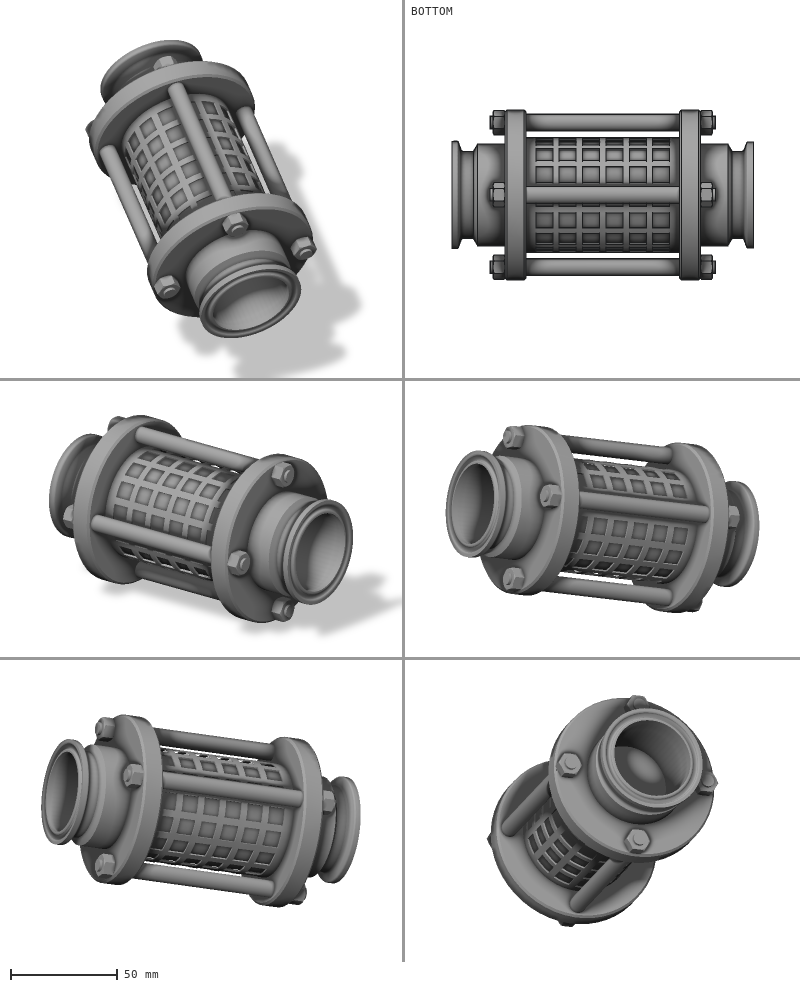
import math

import cadquery as cq


sleeve_length = 72.0
sleeve_diameter = 54.0
sleeve_bore_diameter = 52.4
core_diameter = 50.0
flange_diameter = 80.0
flange_thickness = 10.0
flange_chamfer = 1.0
flange_inner_x = sleeve_length / 2
flange_outer_x = flange_inner_x + flange_thickness

window_size = 8.0
window_pitch = 11.0
window_columns = 6
window_rows = 15
first_row_angle = 3.0

rod_count = 4
rod_diameter = 8.0
rod_circle_radius = 34.0
stud_diameter = 6.0
stud_end_x = 53.0
nut_across_flats = 10.0
nut_height = 5.6
nut_corner_angle = 30.0
hexagon_half_angle = 30.0
nut_across_corners = nut_across_flats / math.cos(math.radians(hexagon_half_angle))

bore_diameter = 38.0
bore_end_x = flange_inner_x
body_radius = 24.0
neck_radius = 20.5
body_shoulder_x = 58.8
neck_shoulder_x = 60.9
rim_angle = 20.0
rim_fillet = 0.9
overall_length = 142.0
end_x = overall_length / 2
left_rim_diameter = 50.5
left_rim_thickness = 2.9
right_rim_diameter = 50.0
right_rim_thickness = 3.1

groove_radius = 21.7
groove_half_width = 1.25
groove_depth = 1.4
groove_edge_round = 0.8


def x_cylinder(diameter, start_x, end_x):
    return cq.Workplane("YZ", origin=(start_x, 0, 0)).circle(diameter / 2).extrude(end_x - start_x)


def revolve_about_x(profile):
    return profile.close().revolve(360, (0, 0, 0), (1, 0, 0))


def sleeve():
    shell = x_cylinder(sleeve_diameter, -flange_inner_x, flange_inner_x)
    shell = shell.cut(x_cylinder(sleeve_bore_diameter, -flange_inner_x, flange_inner_x))
    first_x = -(window_columns - 1) * window_pitch / 2
    columns = [(first_x + i * window_pitch, 0) for i in range(window_columns)]
    row = cq.Workplane("XY").pushPoints(columns).rect(window_size, window_size).extrude(sleeve_diameter)
    for i in range(window_rows):
        angle = 90 - first_row_angle - i * 360 / window_rows
        shell = shell.cut(row.rotate((0, 0, 0), (1, 0, 0), angle))
    return shell


def core():
    return x_cylinder(core_diameter, -flange_inner_x, flange_inner_x)


def flange():
    return x_cylinder(flange_diameter, flange_inner_x, flange_outer_x).edges().chamfer(flange_chamfer)


def nut():
    hexagon = (
        cq.Workplane("YZ", origin=(flange_outer_x, 0, 0))
        .polygon(6, nut_across_corners)
        .extrude(nut_height)
    )
    corner_radius = nut_across_corners / 2
    face_radius = nut_across_flats / 2
    chamfer_length = (corner_radius - face_radius) * math.tan(math.radians(nut_corner_angle))
    envelope = x_cylinder(nut_across_corners, flange_outer_x, flange_outer_x + nut_height)
    envelope = envelope.edges().chamfer(chamfer_length, corner_radius - face_radius)
    return hexagon.intersect(envelope)


def add_tie_rods(part):
    right_nut = nut()
    left_nut = right_nut.mirror("YZ")
    rod = x_cylinder(rod_diameter, -flange_inner_x, flange_inner_x)
    stud = x_cylinder(stud_diameter, -stud_end_x, stud_end_x)
    for i in range(rod_count):
        angle = 2 * math.pi * i / rod_count
        place = (0, rod_circle_radius * math.cos(angle), rod_circle_radius * math.sin(angle))
        for piece in (rod, stud, right_nut, left_nut):
            part = part.union(piece.translate(place))
    return part


def gasket_groove():
    """Ring cutter: an arc-shaped trough whose two edges are rounded over."""
    inner = groove_radius - groove_half_width
    outer = groove_radius + groove_half_width
    half_round = groove_edge_round / 2
    trough_edge_x = end_x - half_round
    round_middle_x = end_x - half_round / 4
    profile = (
        cq.Workplane("XY")
        .moveTo(end_x, inner - groove_edge_round)
        .threePointArc((round_middle_x, inner - half_round), (trough_edge_x, inner))
        .threePointArc((end_x - groove_depth, groove_radius), (trough_edge_x, outer))
        .threePointArc((round_middle_x, outer + half_round), (end_x, outer + groove_edge_round))
    )
    return revolve_about_x(profile)


def connection(rim_diameter, rim_thickness):
    """Bored pipe end on the +X side, from the flange out to the clamp ferrule."""
    rim_radius = rim_diameter / 2
    rim_back_x = end_x - rim_thickness
    rim_root_x = rim_back_x - (rim_radius - neck_radius) * math.tan(math.radians(rim_angle))
    profile = (
        cq.Workplane("XY")
        .moveTo(flange_outer_x, 0)
        .lineTo(flange_outer_x, body_radius)
        .lineTo(body_shoulder_x, body_radius)
        .lineTo(neck_shoulder_x, neck_radius)
        .lineTo(rim_root_x, neck_radius)
        .lineTo(rim_back_x, rim_radius)
        .lineTo(end_x, rim_radius)
        .lineTo(end_x, 0)
    )
    solid = revolve_about_x(profile)
    reach = flange_diameter / 2
    rim_edges = cq.selectors.BoxSelector(
        (rim_root_x - rim_fillet / 2, -reach, -reach),
        (rim_back_x + rim_fillet / 2, reach, reach),
        boundingbox=True,
    )
    solid = solid.edges(rim_edges).edges("%CIRCLE").fillet(rim_fillet)
    solid = solid.union(flange())
    solid = solid.cut(gasket_groove())
    return solid.cut(x_cylinder(bore_diameter, bore_end_x, end_x))


right_connection = connection(right_rim_diameter, right_rim_thickness)
left_connection = connection(left_rim_diameter, left_rim_thickness).mirror("YZ")
tube = sleeve().union(right_connection).union(left_connection).union(core())
result = add_tie_rods(tube)